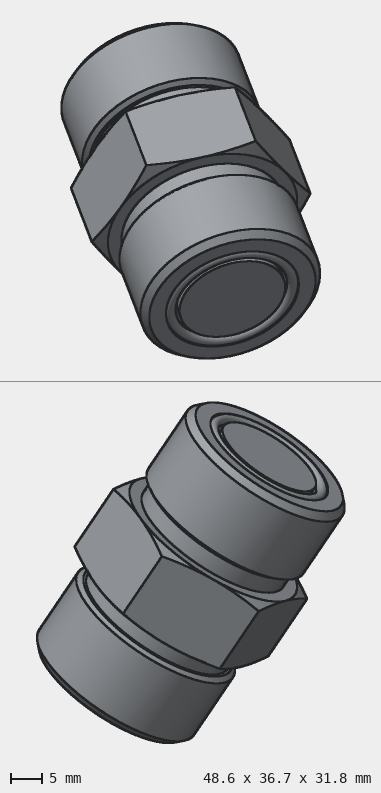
import cadquery as cq
import math

overall_length = 48.55
face_to_face = 47.95

hex_across_flats = 31.75
hex_width = 13.7
hex_chamfer_angle = 20.0

thread_diameter = 30.15
relief_diameter = 27.2
thread_inner_end = 10.1
end_chamfer_length = 1.25
end_chamfer_height = 1.1
inner_chamfer_length = 0.65
inner_chamfer_height = 0.95

seal_outer_diameter = 22.3
groove_inner_diameter = 17.7
seal_section_diameter = 1.75

half_length = face_to_face / 2
hex_half_width = hex_width / 2
hex_across_corners = hex_across_flats / math.cos(math.radians(30))
seal_section_radius = seal_section_diameter / 2
seal_path_radius = seal_outer_diameter / 2 - seal_section_radius
seal_centre = overall_length / 2 - seal_section_radius
groove_floor = seal_centre - seal_section_radius
groove_depth = half_length - groove_floor


def revolve_about_x(profile):
    """Revolve a closed profile of (x, radius) points once around the X axis."""
    return profile.revolve(360, (0, 0, 0), (1, 0, 0))


def make_threaded_core():
    """Turned core: relief, thread cylinder and chamfers on both ends."""
    thread_radius = thread_diameter / 2
    relief_radius = relief_diameter / 2
    right_half = [
        (thread_inner_end, relief_radius),
        (thread_inner_end, thread_radius - inner_chamfer_height),
        (thread_inner_end + inner_chamfer_length, thread_radius),
        (half_length - end_chamfer_length, thread_radius),
        (half_length, thread_radius - end_chamfer_height),
        (half_length, 0),
    ]
    left_half = [(-x, radius) for x, radius in reversed(right_half)]
    return revolve_about_x(cq.Workplane("XY").polyline(left_half + right_half).close())


def make_hexagon():
    """Hexagon along X with its corners cut by a cone at both ends."""
    hexagon = (
        cq.Workplane("YZ")
        .workplane(offset=-hex_half_width)
        .polygon(6, hex_across_corners)
        .extrude(hex_width)
    )
    flat_radius = hex_across_flats / 2
    corner_radius = hex_across_corners / 2
    corner_drop = (corner_radius - flat_radius) * math.tan(math.radians(hex_chamfer_angle))
    envelope = revolve_about_x(
        cq.Workplane("XY")
        .moveTo(-hex_half_width, 0)
        .lineTo(-hex_half_width, flat_radius)
        .lineTo(-hex_half_width + corner_drop, corner_radius)
        .lineTo(hex_half_width - corner_drop, corner_radius)
        .lineTo(hex_half_width, flat_radius)
        .lineTo(hex_half_width, 0)
        .close()
    )
    return hexagon.intersect(envelope)


def make_seal_groove(side):
    """Ring-shaped cutter for the seal groove in the end face on the given side of X = 0."""
    return (
        cq.Workplane("YZ")
        .workplane(offset=side * half_length)
        .circle(seal_outer_diameter / 2)
        .circle(groove_inner_diameter / 2)
        .extrude(-side * groove_depth)
    )


def make_fitting_body():
    """Fitting body: threaded core and hexagon with a seal groove in each end face."""
    body = make_threaded_core().union(make_hexagon())
    for side in (-1, 1):
        body = body.cut(make_seal_groove(side))
    return body


def make_seal(side):
    """O-ring that rests on the floor and the outer wall of its groove."""
    section = cq.Workplane("XY").center(side * seal_centre, seal_path_radius).circle(seal_section_radius)
    return section.revolve(360, (0, -seal_path_radius, 0), (1, -seal_path_radius, 0))


fitting_body = make_fitting_body()
seals = [make_seal(side) for side in (-1, 1)]

result = cq.Compound.makeCompound([fitting_body.val(), *[seal.val() for seal in seals]])